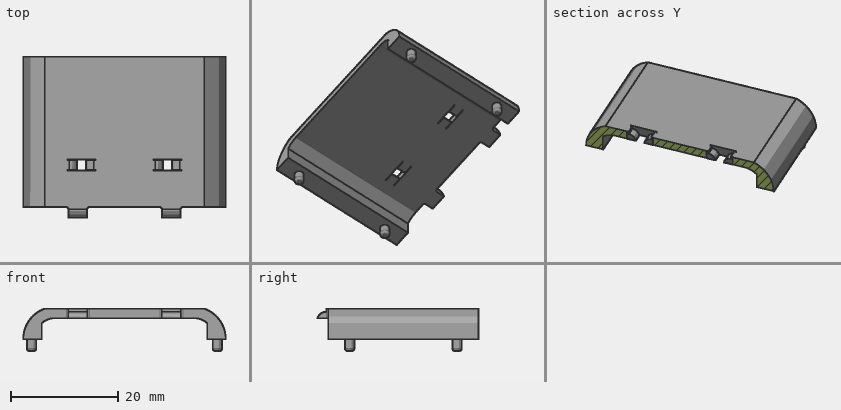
import cadquery as cq
import math

width = 37.78
length = 28.0
body_height = 5.72
plate_thickness = 1.8
foot_width = 3.5
inner_wall_height = 3.0
side_arc_run = 4.0
inner_arc_run = 2.4

pin_diameter = 1.8
pin_length = 2.2
pin_tip_radius = 0.5
pin_inset_x = 1.6
pin_inset_y = 4.0

hook_top_drop = 0.58
hook_height = plate_thickness - hook_top_drop

tab_spacing = 17.4
tab_width = 3.5
tab_reach = 0.4
tab_root_radius = 0.4
tab_hook_length = 1.62

slot_spacing = 16.0
slot_length = 5.2
slot_width = 2.0
slot_center_y = 7.85
slot_side_gap = 0.1
slot_pad_reach = 0.35
slot_hook_length = 1.42

plate_bottom = body_height - plate_thickness


def tangent_arc_midpoint(run, rise):
    """Midpoint (along, aside) of an arc from (0, 0) to (run, rise) that starts along the run direction."""
    radius = (run**2 + rise**2) / (2 * rise)
    half_angle = math.atan2(rise, run)
    return radius * math.sin(half_angle), radius * (1 - math.cos(half_angle))


def make_shell():
    """Arched cover: a flat plate with rounded sides standing on two feet."""
    half_width = width / 2
    plate_edge = half_width - side_arc_run
    inner_wall = half_width - foot_width
    ceiling_edge = inner_wall - inner_arc_run

    side_rise, side_inset = tangent_arc_midpoint(body_height, side_arc_run)
    side_mid = (half_width - side_inset, side_rise)
    inner_run, inner_drop = tangent_arc_midpoint(inner_arc_run, plate_bottom - inner_wall_height)
    inner_mid = (ceiling_edge + inner_run, plate_bottom - inner_drop)

    half_profile = (
        cq.Workplane("XZ")
        .moveTo(0, body_height)
        .lineTo(plate_edge, body_height)
        .threePointArc(side_mid, (half_width, 0))
        .lineTo(inner_wall, 0)
        .lineTo(inner_wall, inner_wall_height)
        .threePointArc(inner_mid, (ceiling_edge, plate_bottom))
        .lineTo(0, plate_bottom)
        .close()
        .extrude(-length)
    )
    return half_profile.union(half_profile.mirror("YZ"))


def make_hook(hook_length, hook_width):
    """Hook pointing along +X from x = 0, centred on y = 0, flat underneath."""
    mid_run, mid_drop = tangent_arc_midpoint(hook_length, hook_height)
    return (
        cq.Workplane("XZ")
        .moveTo(0, plate_bottom)
        .lineTo(0, plate_bottom + hook_height)
        .threePointArc((mid_run, plate_bottom + hook_height - mid_drop), (hook_length, plate_bottom))
        .close()
        .extrude(hook_width / 2, both=True)
    )


def make_front_tab():
    """Tab on the front edge at x = 0: a flared root and a hook pointing along -Y."""
    half_tab = tab_width / 2
    half_root = half_tab + tab_root_radius
    arc_offset = tab_root_radius * math.sqrt(0.5)
    root = (
        cq.Workplane("XY", origin=(0, 0, plate_bottom))
        .moveTo(-half_root, 0)
        .threePointArc((-half_root + arc_offset, arc_offset - tab_root_radius), (-half_tab, -tab_reach))
        .lineTo(half_tab, -tab_reach)
        .threePointArc((half_root - arc_offset, arc_offset - tab_root_radius), (half_root, 0))
        .close()
        .extrude(plate_thickness)
    )
    hook = make_hook(tab_hook_length, tab_width)
    hook = hook.rotate((0, 0, 0), (0, 0, 1), -90).translate((0, -tab_reach, 0))
    return root.union(hook)


def make_slot_cutter():
    """Through opening centred on x = y = 0."""
    return cq.Workplane("XY", origin=(0, 0, plate_bottom)).box(
        slot_length, slot_width, plate_thickness, centered=(True, True, False)
    )


def make_slot_hooks():
    """Two padded hooks reaching in from the ends of a slot, clear of its long sides."""
    pad_width = slot_width - 2 * slot_side_gap
    left_end = -slot_length / 2
    pad = (
        cq.Workplane("XY", origin=(left_end, 0, plate_bottom))
        .box(slot_pad_reach, pad_width, plate_thickness, centered=(False, True, False))
    )
    hook = make_hook(slot_hook_length, pad_width).translate((left_end + slot_pad_reach, 0, 0))
    left_side = pad.union(hook)
    return left_side.union(left_side.mirror("YZ"))


def make_pin():
    """Round-ended pin hanging below z = 0."""
    return (
        cq.Workplane("XY")
        .circle(pin_diameter / 2)
        .extrude(-pin_length)
        .faces("<Z")
        .edges()
        .fillet(pin_tip_radius)
    )


result = make_shell()

for side in (-1, 1):
    slot_center = (side * slot_spacing / 2, slot_center_y, 0)
    result = result.cut(make_slot_cutter().translate(slot_center))
    result = result.union(make_slot_hooks().translate(slot_center))
    result = result.union(make_front_tab().translate((side * tab_spacing / 2, 0, 0)))
    pin_x = side * (width / 2 - pin_inset_x)
    for pin_y in (pin_inset_y, length - pin_inset_y):
        result = result.union(make_pin().translate((pin_x, pin_y, 0)))